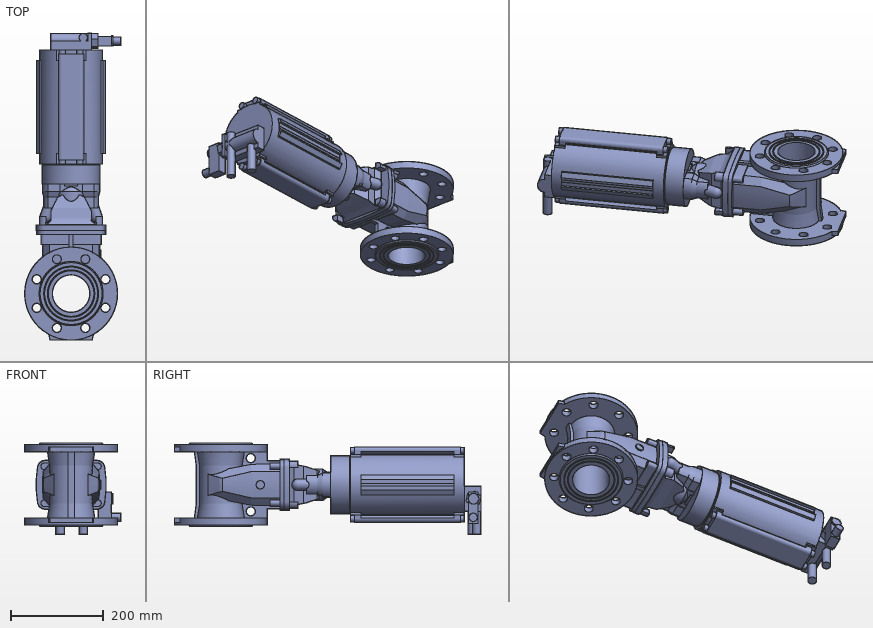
import cadquery as cq
import math


face_to_face = 180
bore_dia = 80
flange_dia = 200
raised_face_height = 3
raised_face_dia = 133
raised_face_base_dia = 138
flange_thickness = 16
flange_hole_dia = 19
flange_hole_circle = 160
flange_hole_count = 8
groove_mean_radii = (50, 58)
groove_width = 2
groove_depth = 1

neck_radius = 46
neck_flare_radius = 51
neck_flare_start = 41

foot_thickness = 10
foot_top_half_width = 48.4
foot_edge_half_width = 45.5
foot_height = 12.5

seam_rib_width = 14
seam_rib_reach = 53
seam_rib_flange_reach = 57

web_thickness = 8.5
web_half_height = 52
lug_hole_y = 64.5
lug_hole_z = 57.3

joint_y = 127
housing_stations = [
    (joint_y, 62, 60, 28.5, 46.5, 45),
    (66, 62, 60, 28.5, 46.5, 44),
    (3.5, 60, 59, 14, 42, 32),
    (-2.5, 57.5, 56.5, 15.5, 41, 30.5),
    (-28, 36.6, 36.5, 23, 35, 25),
]

nut_bar_bottom_y = 105.5
nut_dia = 14
nut_x = 58
nut_z = 39.7

plug_dia = 18
plug_y = 85
plug_reach = 64.5

joint_plate_top_y = 147.5
joint_half_width = 75.5
joint_half_height = 56
joint_corner_x = 70
joint_corner_z = 51
joint_corner_radius = 17
joint_split_y = 135.5
joint_lower_inset = 0.5
corner_block_top_y = 166
corner_block_half_x = 68
corner_block_inner_x = 54
corner_block_inner_z = 37
corner_block_round = 11

dome_plan = [(54, joint_y), (54, 148), (43.5, 157), (43.5, 178), (29, 207), (20, 212)]
dome_side = [(joint_y, 50), (148, 50), (155, 46), (161, 43.5), (184, 39), (207, 31), (212, 29.5)]

yoke_half_width = 62
yoke_half_height = 25
yoke_flat_half_width = 49.5
yoke_bottom_y = 219
saddle_half_width = 59
saddle_half_height = 20
saddle_top_y = 208
saddle_bottom_y = 184
leg_radius = 12.5
leg_path = ((46.5, 205), (46.5, 188), (54.5, 165))
gland_radius = 34
gland_top_radius = 27
gland_bottom_y = 190
gland_shoulder_y = 219
gland_top_y = 229
gland_block_half_width = 24
gland_notch_half_width = 14
gland_notch_bottom_y = 231
gland_notch_depth = 3

collar_dia = 125
collar_bottom_y = 236
cylinder_bottom_y = 278.5
cylinder_top_y = 524
cylinder_dia = 135.5
seat_groove_height = 2
seat_groove_dia = 122

rail_reach = 81.5
rail_top_half_width = 19
rail_half_width = 27.5
rail_side_top_z = 74.5
rail_side_bottom_z = 71.5
rail_stem_half_width = 22
rail_stem_z = 66
rail_inset = 9
rod_head_dia = 14
rod_head_x = 19
rod_head_drop = 1
lug_half_width = 31.5
lug_reach = 65
lug_length = 22.5

fin_base_half = 21.5
fin_slot_half = 11
fin_base_reach = 68.5
fin_crest_reach = 74.5
fin_floor_reach = 69
fin_groove_half = 2.75
fin_groove_reach = 68.2

overall_top_y = 560
box_half_length = 44
box_top_z = -3
box_bottom_z = -57
box_step_y = 543.5
switch_dome_dia = 32
switch_dome_end_x = 36
switch_z = -30
pin_bottom_z = -106.5
near_pin_dia = 19
near_pin_x = -23.6
near_pin_y = 541
far_pin_dia = 18
far_pin_x = 26.3
far_pin_y = 550.5

hex_end_x = 58
hex_circumradius = 17
hex_turn = 12.6
elbow_end_x = 86.5
elbow_width = 21
elbow_top_z = -15
elbow_bottom_z = -83
connector_y = 542.8
cap_dia = 23
cap_end_x = 90
outlet_dia = 18
outlet_z = -70
outlet_end_x = 106.96

face_z = face_to_face / 2
flange_outer_z = face_z - raised_face_height
flange_inner_z = flange_outer_z - flange_thickness
flange_radius = flange_dia / 2


def box(x_range, y_range, z_range):
    """Box given by its limits along each axis."""
    size = [high - low for low, high in (x_range, y_range, z_range)]
    middle = [(high + low) / 2 for low, high in (x_range, y_range, z_range)]
    return cq.Workplane("XY").box(*size).translate(tuple(middle))


def plane_y(y):
    """Sketch plane at a Y station, local axes X and Z; extrusion runs towards -Y."""
    return cq.Workplane("XZ", origin=(0, y, 0))


def rod_y(radius, x, z, y_start, y_end):
    return plane_y(y_end).center(x, z).circle(radius).extrude(y_end - y_start)


def rod_x_axis(radius, y, z, x_start, x_end):
    return cq.Workplane("YZ", origin=(x_start, y, z)).circle(radius).extrude(x_end - x_start)


def rod_z(radius, x, y, z_start, z_end):
    return cq.Workplane("XY", origin=(x, y, z_start)).circle(radius).extrude(z_end - z_start)


def both_z(shape):
    """The shape with its mirror image across the XY plane."""
    return shape.union(shape.mirror("XY"))


def both_x(shape):
    """The shape with its mirror image across the YZ plane."""
    return shape.union(shape.mirror("YZ"))


def pipe():
    """Revolved upper half of pipe, flare, flange and raised face, mirrored downwards."""
    profile = (
        cq.Workplane("XZ")
        .moveTo(0, 0)
        .lineTo(neck_radius, 0)
        .lineTo(neck_radius, neck_flare_start)
        .lineTo(neck_flare_radius, flange_inner_z)
        .lineTo(flange_radius, flange_inner_z)
        .lineTo(flange_radius, flange_outer_z)
        .lineTo(raised_face_base_dia / 2, flange_outer_z)
        .lineTo(raised_face_dia / 2, face_z)
        .lineTo(0, face_z)
        .close()
    )
    half = profile.revolve(360, (0, 0, 0), (0, 1, 0))
    for radius in groove_mean_radii:
        half = half.cut(
            cq.Workplane("XY", origin=(0, 0, face_z - groove_depth))
            .circle(radius + groove_width / 2)
            .circle(radius - groove_width / 2)
            .extrude(groove_depth)
        )
    return both_z(half)


def flange_holes():
    first_angle = 180 / flange_hole_count
    upper = (
        cq.Workplane("XY", origin=(0, 0, flange_inner_z))
        .polarArray(flange_hole_circle / 2, first_angle, 360, flange_hole_count)
        .circle(flange_hole_dia / 2)
        .extrude(flange_thickness)
    )
    return both_z(upper)


def feet():
    """Flat standing lip on the -Y edge of each flange."""
    outline = [
        (-foot_top_half_width, foot_height - flange_radius),
        (-foot_edge_half_width, -flange_radius),
        (foot_edge_half_width, -flange_radius),
        (foot_top_half_width, foot_height - flange_radius),
    ]
    sketch_plane = cq.Workplane("XY", origin=(0, 0, flange_inner_z))
    upper = sketch_plane.polyline(outline).close().extrude(foot_thickness)
    return both_z(upper)


def seam_rib():
    """Rib down the -Y side of the pipe, following the flare."""
    outline = [
        (0, -flange_inner_z),
        (-seam_rib_flange_reach, -flange_inner_z),
        (-seam_rib_reach, -neck_flare_start),
        (-seam_rib_reach, neck_flare_start),
        (-seam_rib_flange_reach, flange_inner_z),
        (0, flange_inner_z),
    ]
    return cq.Workplane("YZ").polyline(outline).close().extrude(seam_rib_width / 2, both=True)


def web():
    """Centre web between the flanges with two lifting eyes."""
    x_range = (-web_thickness / 2, web_thickness / 2)
    tall = box(x_range, (0, flange_radius), (-flange_inner_z, flange_inner_z))
    low = box(x_range, (0, joint_y), (-web_half_height, web_half_height))
    eye = rod_x_axis(flange_hole_dia / 2, lug_hole_y, lug_hole_z, -web_thickness, web_thickness)
    return tall.union(low).cut(both_z(eye))


def housing_section(y, bulge_x, side_x, side_z, top_x, top_z):
    """Closed section with bowed sides and bevelled corners, as a wire."""
    return (
        plane_y(y)
        .moveTo(side_x, -side_z)
        .threePointArc((bulge_x, 0), (side_x, side_z))
        .lineTo(top_x, top_z)
        .lineTo(-top_x, top_z)
        .lineTo(-side_x, side_z)
        .threePointArc((-bulge_x, 0), (-side_x, -side_z))
        .lineTo(-top_x, -top_z)
        .lineTo(top_x, -top_z)
        .close()
        .wires()
        .val()
    )


def stacked_lofts(sections):
    """Ruled lofts from each section to the next, joined into one shape."""
    stack = cq.Workplane("XY")
    for upper, lower in zip(sections, sections[1:]):
        stack = stack.add(cq.Solid.makeLoft([upper, lower], True))
    return stack.combine()


def gate_housing():
    """Housing of the gate: straight, then tapering, then closing onto the pipe."""
    sections = [housing_section(*station) for station in housing_stations]
    housing = stacked_lofts(sections)
    nut_bar = (
        plane_y(joint_y)
        .center(0, nut_z)
        .slot2D(2 * nut_x + nut_dia, nut_dia)
        .extrude(joint_y - nut_bar_bottom_y)
    )
    plug = rod_x_axis(plug_dia / 2, plug_y, 0, 0, plug_reach)
    return housing.union(both_z(nut_bar)).union(plug)


def joint_layer(y_start, y_end, inset):
    """Layer of the bolted joint: bowed sides and rounded corners, drawn in by an inset."""
    corner_x = joint_corner_x - inset
    corner_z = joint_corner_z - inset
    half_width = joint_half_width - inset
    half_height = joint_half_height - inset
    layer = (
        plane_y(y_end)
        .moveTo(corner_x, -corner_z)
        .threePointArc((half_width, 0), (corner_x, corner_z))
        .threePointArc((0, half_height), (-corner_x, corner_z))
        .threePointArc((-half_width, 0), (-corner_x, -corner_z))
        .threePointArc((0, -half_height), (corner_x, -corner_z))
        .close()
        .extrude(y_end - y_start)
    )
    return layer.edges("|Y").fillet(joint_corner_radius)


def joint_plate():
    """Housing flange and the slightly larger bonnet flange bolted onto it."""
    housing_flange = joint_layer(joint_y, joint_split_y, joint_lower_inset)
    bonnet_flange = joint_layer(joint_split_y, joint_plate_top_y, 0)
    return housing_flange.union(bonnet_flange)


def corner_blocks():
    """Bolt blocks standing on the four corners of the joint plate."""
    block = box(
        (corner_block_inner_x, corner_block_half_x),
        (joint_y, corner_block_top_y),
        (corner_block_inner_z, joint_corner_z),
    )
    block = block.edges("|Y and >X and >Z").fillet(corner_block_round)
    return both_z(both_x(block))


def bonnet_dome():
    """Tapered centre of the bonnet: plan outline crossed with side outline."""
    plan_outline = dome_plan + [(-x, y) for x, y in reversed(dome_plan)]
    side_outline = dome_side + [(y, -z) for y, z in reversed(dome_side)]
    in_plan = cq.Workplane("XY").polyline(plan_outline).close().extrude(joint_half_height, both=True)
    in_side = cq.Workplane("YZ").polyline(side_outline).close().extrude(joint_half_width, both=True)
    return in_plan.intersect(in_side)


def yoke_section(y, bow_x, half_height):
    """Flat-topped section with bowed ends, as a wire."""
    return (
        plane_y(y)
        .moveTo(yoke_flat_half_width, -half_height)
        .threePointArc((bow_x, 0), (yoke_flat_half_width, half_height))
        .lineTo(-yoke_flat_half_width, half_height)
        .threePointArc((-bow_x, 0), (-yoke_flat_half_width, -half_height))
        .close()
        .wires()
        .val()
    )


def yoke():
    """Top plate of the bonnet and the narrower saddle that tapers in below it."""
    return stacked_lofts(
        [
            yoke_section(collar_bottom_y, yoke_half_width, yoke_half_height),
            yoke_section(yoke_bottom_y, yoke_half_width, yoke_half_height),
            yoke_section(saddle_top_y, saddle_half_width, saddle_half_height),
            yoke_section(saddle_bottom_y, saddle_half_width, saddle_half_height),
        ]
    )


def bar(radius, start, end):
    """Round bar between two (x, y) points in the XY plane."""
    run = cq.Vector(end[0] - start[0], end[1] - start[1], 0)
    return cq.Workplane(cq.Solid.makeCylinder(radius, run.Length, cq.Vector(*start, 0), run))


def bonnet_legs():
    """Round side legs that spread from the saddle down towards the joint."""
    leg = None
    for x, y in leg_path:
        joint = cq.Workplane("XY").sphere(leg_radius).translate((x, y, 0))
        leg = joint if leg is None else leg.union(joint)
    for start, end in zip(leg_path, leg_path[1:]):
        leg = leg.union(bar(leg_radius, start, end))
    return both_x(leg)


def gland():
    """Round stem gland, with a notched block between it and the actuator collar."""
    barrel = rod_y(gland_radius, 0, 0, gland_bottom_y, gland_shoulder_y)
    cone = cq.Workplane(
        cq.Solid.makeCone(
            gland_radius,
            gland_top_radius,
            gland_top_y - gland_shoulder_y,
            cq.Vector(0, gland_shoulder_y, 0),
            cq.Vector(0, 1, 0),
        )
    )
    block = box(
        (-gland_block_half_width, gland_block_half_width),
        (gland_shoulder_y, collar_bottom_y),
        (-gland_top_radius, gland_top_radius),
    )
    notch = box(
        (-gland_notch_half_width, gland_notch_half_width),
        (gland_notch_bottom_y, collar_bottom_y),
        (gland_top_radius - gland_notch_depth, gland_radius),
    )
    return barrel.union(cone).union(block).cut(both_z(notch))


def actuator_cylinder():
    collar_top_y = cylinder_bottom_y - seat_groove_height
    collar = rod_y(collar_dia / 2, 0, 0, collar_bottom_y, collar_top_y)
    groove = rod_y(seat_groove_dia / 2, 0, 0, collar_top_y, cylinder_bottom_y)
    cylinder = rod_y(cylinder_dia / 2, 0, 0, cylinder_bottom_y, cylinder_top_y)
    return collar.union(groove).union(cylinder)


def tie_rod_rails():
    """Round-shouldered rails with tie rod heads along the top and bottom of the cylinder."""
    rail_start = cylinder_bottom_y + rail_inset
    rail_end = cylinder_top_y - rail_inset
    shoulder_x = rail_half_width - rail_top_half_width
    shoulder_z = rail_reach - rail_side_top_z
    shoulder_middle = (
        rail_top_half_width + shoulder_x * math.sin(math.pi / 4),
        rail_side_top_z + shoulder_z * math.sin(math.pi / 4),
    )
    half_rail = (
        plane_y(rail_end)
        .moveTo(0, rail_reach)
        .lineTo(rail_top_half_width, rail_reach)
        .threePointArc(shoulder_middle, (rail_half_width, rail_side_top_z))
        .lineTo(rail_half_width, rail_side_bottom_z)
        .lineTo(rail_stem_half_width, rail_stem_z)
        .lineTo(rail_stem_half_width, 0)
        .lineTo(0, 0)
        .close()
        .extrude(rail_end - rail_start)
    )
    head_z = rail_reach - rod_head_dia / 2 - rod_head_drop
    head = rod_y(rod_head_dia / 2, rod_head_x, head_z, cylinder_bottom_y, cylinder_top_y)
    rail = both_x(half_rail.union(head))
    lower_end = cylinder_bottom_y + lug_length
    upper_end = cylinder_top_y - lug_length
    lug_spans = ((cylinder_bottom_y, lower_end), (upper_end, cylinder_top_y))
    for span in lug_spans:
        rail = rail.union(box((-lug_half_width, lug_half_width), span, (0, lug_reach)))
    cheek_spans = ((rail_start, lower_end), (upper_end, rail_end))
    for span in cheek_spans:
        rail = rail.union(box((-rail_half_width, rail_half_width), span, (0, rail_side_bottom_z)))
    return both_z(rail)


def side_fins():
    """Slotted strip along each side of the cylinder."""
    fin_end = cylinder_top_y - lug_length
    fin_start = cylinder_bottom_y + lug_length
    upper = [
        (0, fin_base_half),
        (fin_base_reach, fin_base_half),
        (fin_crest_reach, fin_slot_half),
        (fin_floor_reach, fin_slot_half),
        (fin_floor_reach, fin_groove_half),
        (fin_groove_reach, fin_groove_half),
    ]
    outline = upper + [(x, -z) for x, z in reversed(upper)]
    return both_x(plane_y(fin_end).polyline(outline).close().extrude(fin_end - fin_start))


def switch_box():
    """Limit switch box on the end of the cylinder with two downward pins."""
    z_range = (box_bottom_z, box_top_z)
    base = box((-box_half_length, box_half_length), (cylinder_top_y, box_step_y), z_range)
    end_wall = box((switch_dome_end_x, box_half_length), (box_step_y, overall_top_y), z_range)
    dome = rod_x_axis(switch_dome_dia / 2, box_step_y, switch_z, -box_half_length, switch_dome_end_x)
    near_pin = rod_z(near_pin_dia / 2, near_pin_x, near_pin_y, pin_bottom_z, switch_z)
    far_pin = rod_z(far_pin_dia / 2, far_pin_x, far_pin_y, pin_bottom_z, box_top_z)
    return base.union(end_wall).union(dome).union(near_pin).union(far_pin)


def connector():
    """Angled cable connector: hexagon, elbow, cap and outlet."""
    nut = (
        cq.Workplane("YZ", origin=(box_half_length, box_step_y, switch_z))
        .transformed(rotate=(0, 0, 90 - hex_turn))
        .polygon(6, 2 * hex_circumradius)
        .extrude(hex_end_x - box_half_length)
    )
    elbow = box(
        (hex_end_x, elbow_end_x),
        (connector_y - elbow_width / 2, connector_y + elbow_width / 2),
        (elbow_bottom_z, elbow_top_z),
    )
    cap = rod_x_axis(cap_dia / 2, box_step_y, switch_z, elbow_end_x, cap_end_x)
    outlet = rod_x_axis(outlet_dia / 2, connector_y, outlet_z, elbow_end_x, outlet_end_x)
    return nut.union(elbow).union(cap).union(outlet)


def build():
    features = (
        feet(),
        seam_rib(),
        web(),
        gate_housing(),
        joint_plate(),
        corner_blocks(),
        bonnet_dome(),
        yoke(),
        bonnet_legs(),
        gland(),
        actuator_cylinder(),
        tie_rod_rails(),
        side_fins(),
        switch_box(),
        connector(),
    )
    valve = pipe()
    for feature in features:
        valve = valve.union(feature)
    bore = rod_z(bore_dia / 2, 0, 0, -face_z, face_z)
    return valve.cut(bore).cut(flange_holes())


result = build()